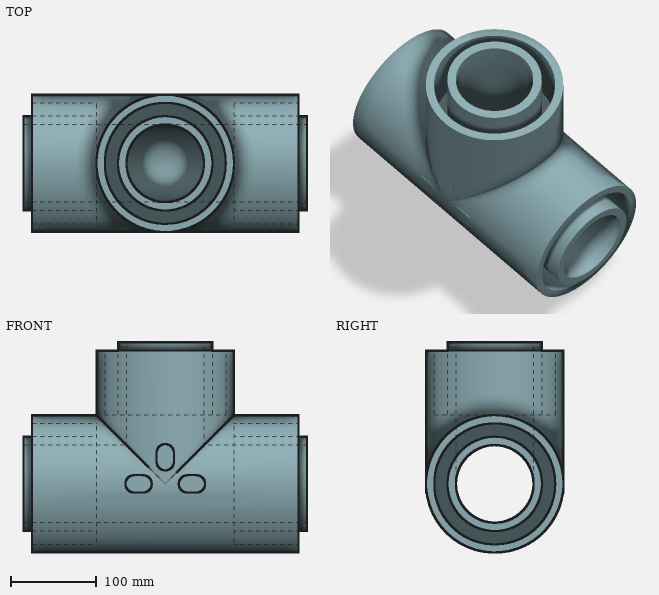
import cadquery as cq

run_length = 330.0
shell_outer_diameter = 160.0
shell_inner_diameter = 141.0
pipe_outer_diameter = 110.0
pipe_inner_diameter = 90.0
pipe_projection = 10.0

pad_length = 30.7
pad_width = 20.0
pad_offset = 31.0

pipe_reach = run_length / 2
shell_reach = pipe_reach - pipe_projection
shell_outer_radius = shell_outer_diameter / 2
core_reach = shell_outer_radius


def tee(diameter, reach):
    """Solid tee with its axes crossing at the origin; each arm is `reach` long."""
    run = cq.Workplane("YZ").circle(diameter / 2).extrude(reach, both=True)
    branch = cq.Workplane("XY").circle(diameter / 2).extrude(reach)
    return run.union(branch)


def pad_bar(x, z, angle):
    """Slot-shaped bar along Y whose ends form a flat pad on each side of the shell."""
    return (
        cq.Workplane("XZ")
        .center(x, z)
        .slot2D(pad_length, pad_width, angle)
        .extrude(shell_outer_radius, both=True)
    )


shell = tee(shell_outer_diameter, shell_reach).cut(tee(shell_inner_diameter, shell_reach))
core = tee(shell_inner_diameter, core_reach)
body = shell.union(core).union(tee(pipe_outer_diameter, pipe_reach))

for x, z, angle in (
    (-pad_offset, 0, 0),
    (pad_offset, 0, 0),
    (0, pad_offset, 90),
):
    body = body.union(pad_bar(x, z, angle))

result = body.cut(tee(pipe_inner_diameter, pipe_reach))